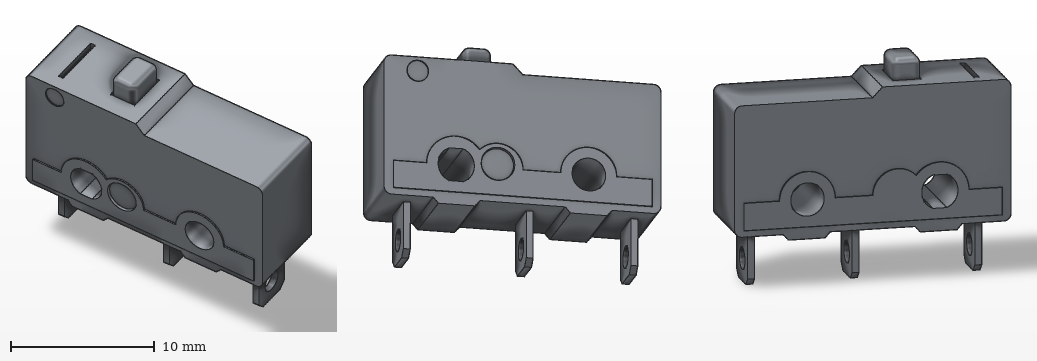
import cadquery as cq


length = 19.8
width = 6.15
height = 10.18
step_drop = 0.73
step_start = 9.2
step_end = 9.92
corner_radius = 0.53

foot_length = 3.37
foot_height = 0.42
foot_chamfer = 0.38
foot_centers = (5.19, 14.63)

hole_diameter = 2.4
hole_height = 2.45
flatted_hole_x = 5.13
flatted_hole_diameter = 2.6
round_hole_x = 14.61

band_thickness = 0.12
band_margin = 0.65
band_bottom = 0.48
middle_lobe_x = 8.12
band_lobes = (
    (flatted_hole_x, 2.1),
    (middle_lobe_x, 1.8),
    (round_hole_x, 2.0),
)

large_mark_x = middle_lobe_x
large_mark_z = 2.75
large_mark_diameter = 2.4
large_mark_depth = 0.2
large_mark_draft = 12.0
small_mark_x = 2.42
small_mark_z = 9.17
small_mark_diameter = 1.52
small_mark_depth = 0.1

slot_x = 2.22
slot_width = 0.38
slot_span = 4.02
slot_depth = 0.5

plunger_x = 7.07
plunger_length = 2.02
plunger_width = 3.09
plunger_rise = 1.58
plunger_radius = 0.51
plunger_seat_depth = 0.5

terminal_centers = (1.98, 10.77, 18.25)
terminal_thickness = 0.5
terminal_width = 3.19
terminal_drop = 3.95
terminal_chamfer = 0.51
terminal_hole_diameter = 1.6
terminal_hole_drop = 2.32

front_face = -width / 2
front_band_face = front_face - band_thickness


def side_plane(y):
    """Plane at the given Y, with local axes X and Z, facing the front (-Y)."""
    return cq.Workplane("XZ", origin=(0, y, 0))


def make_housing_block():
    block = (
        side_plane(width / 2)
        .moveTo(0, 0)
        .lineTo(length, 0)
        .lineTo(length, height - step_drop)
        .lineTo(step_end, height - step_drop)
        .lineTo(step_start, height)
        .lineTo(0, height)
        .close()
        .extrude(width)
    )
    return block.edges("|Y and (<X or >X)").fillet(corner_radius)


def make_foot(center_x):
    half_top = foot_length / 2
    half_bottom = half_top - foot_chamfer
    return (
        side_plane(width / 2)
        .polyline([
            (center_x - half_top, 0),
            (center_x - half_bottom, -foot_height),
            (center_x + half_bottom, -foot_height),
            (center_x + half_top, 0),
        ])
        .close()
        .extrude(width)
    )


def make_bands():
    """Lobed bars that reach through the housing and stand proud of both broad sides."""
    depth = width + 2 * band_thickness
    plane = side_plane(depth / 2)
    bar_length = length - 2 * band_margin
    bar_height = hole_height - band_bottom
    bands = plane.center(band_margin, band_bottom).rect(bar_length, bar_height, centered=False).extrude(depth)
    for lobe_x, lobe_radius in band_lobes:
        lobe = (
            side_plane(depth / 2)
            .moveTo(lobe_x - lobe_radius, hole_height)
            .threePointArc((lobe_x, hole_height + lobe_radius), (lobe_x + lobe_radius, hole_height))
            .close()
            .extrude(depth)
        )
        bands = bands.union(lobe)
    return bands


def cut_mounting_holes(body):
    depth = width + 2 * band_thickness
    plane = side_plane(depth / 2)
    flats = (
        plane.center(flatted_hole_x, hole_height)
        .rect(flatted_hole_diameter, hole_diameter)
        .extrude(depth)
    )
    flatted = (
        plane.center(flatted_hole_x, hole_height)
        .circle(flatted_hole_diameter / 2)
        .extrude(depth)
        .intersect(flats)
    )
    plain = plane.center(round_hole_x, hole_height).circle(hole_diameter / 2).extrude(depth)
    return body.cut(flatted).cut(plain)


def cut_front_marks(body):
    large = (
        side_plane(front_band_face)
        .center(large_mark_x, large_mark_z)
        .circle(large_mark_diameter / 2)
        .extrude(-large_mark_depth, taper=large_mark_draft)
    )
    small = (
        side_plane(front_face)
        .center(small_mark_x, small_mark_z)
        .circle(small_mark_diameter / 2)
        .extrude(-small_mark_depth)
    )
    return body.cut(large).cut(small)


def cut_top_openings(body):
    top = cq.Workplane("XY", origin=(0, 0, height))
    slot = top.center(slot_x, 0).rect(slot_width, slot_span).extrude(-slot_depth)
    seat = (
        cq.Workplane("XY", origin=(plunger_x, 0, height))
        .rect(plunger_length, plunger_width)
        .extrude(-plunger_seat_depth)
    )
    return body.cut(slot).cut(seat)


def make_housing():
    body = make_housing_block()
    for center_x in foot_centers:
        body = body.union(make_foot(center_x))
    body = body.union(make_bands())
    body = cut_mounting_holes(body)
    body = cut_front_marks(body)
    return cut_top_openings(body)


def make_plunger():
    return (
        cq.Workplane("XY", origin=(plunger_x, 0, height - plunger_seat_depth))
        .rect(plunger_length, plunger_width)
        .extrude(plunger_seat_depth + plunger_rise)
        .edges("|Z or >Z")
        .fillet(plunger_radius)
    )


def make_terminal(center_x):
    """Flat blade hanging from the underside of the housing, with a hole across it."""
    blade = (
        cq.Workplane("XY", origin=(center_x, 0, 0))
        .rect(terminal_thickness, terminal_width)
        .extrude(-terminal_drop)
        .edges("|X and <Z")
        .chamfer(terminal_chamfer)
    )
    hole = (
        cq.Workplane("YZ", origin=(center_x - terminal_thickness / 2, 0, -terminal_hole_drop))
        .circle(terminal_hole_diameter / 2)
        .extrude(terminal_thickness)
    )
    return blade.cut(hole)


housing = make_housing()
plunger = make_plunger()
terminals = [make_terminal(center_x) for center_x in terminal_centers]

result = cq.Compound.makeCompound([
    housing.val(),
    plunger.val(),
    *[terminal.val() for terminal in terminals],
])